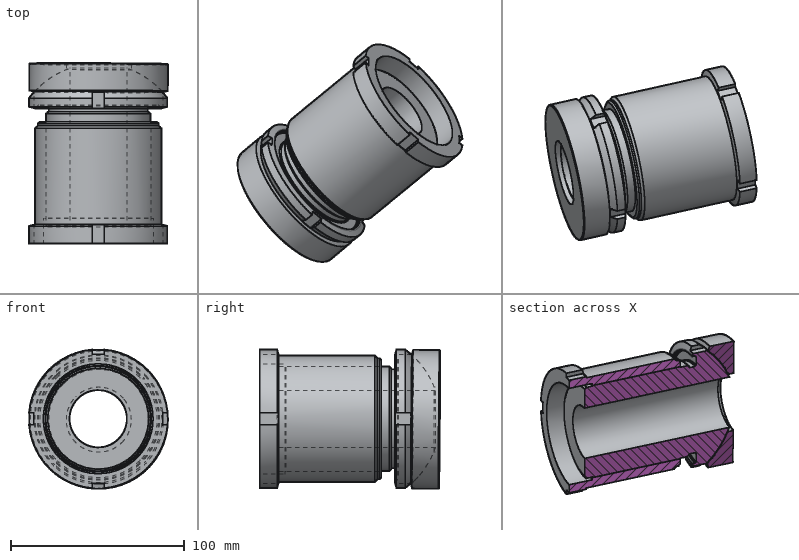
import cadquery as cq
import math

TOTAL_LENGTH = 104.0
RIM_RADIUS = 40.0
BORE_RADIUS = 16.4
THREAD_RADIUS = 30.2
BEVEL_ANGLE = 15.0

NOTCH_COUNT = 4
NOTCH_WIDTH = 7.1
NOTCH_DEPTH = 2.8

SLEEVE_LENGTH = 70.1
SLEEVE_RADIUS = 36.5
FLANGE_THICKNESS = 10.1
COUNTERBORE_RADIUS = 31.6
COUNTERBORE_DEPTH = 14.6
LEAD_IN = 0.4
STEP_RADIUS = 34.9
STEP_WIDTH = 1.1
STEP_CHAMFER = 1.1

SPINDLE_START = 9.8
THREAD_END = 75.8
THREAD_CHAMFER = 1.1
NECK_RADIUS = 28.6
COLLAR_START = 77.7
COLLAR_RIM_END = 83.7
COLLAR_FACE_RADIUS = 36.2
COLLAR_RECESS_RADIUS = 35.3
COLLAR_RECESS_DEPTH = 2.2
RECESS_BEVEL = 0.6

BALL_CENTRE = 54.1
BALL_RADIUS = math.hypot(RIM_RADIUS, COLLAR_RIM_END - BALL_CENTRE)

DISC_FACE_START = 87.2
DISC_BORE_RADIUS = 18.7
DISC_CHAMFER = 0.5
TILT_ANGLE = 0.5
TILT_AXIS = (-2.1, 0, -1)


def bevel_height(outer_radius, inner_radius):
    """Axial height of the shallow bevel between two radii."""
    return (outer_radius - inner_radius) * math.tan(math.radians(BEVEL_ANGLE))


def ball_height(radius):
    """Y of the ball surface at a given distance from the axis."""
    return BALL_CENTRE + math.sqrt(BALL_RADIUS**2 - radius**2)


def revolve_about_y(profile):
    """Close a profile of (radius, Y) points and revolve it about the common axis."""
    return profile.close().revolve(360, (0, 0, 0), (0, 1, 0))


def cut_notches(body, start, end):
    """Cut the spanner notches into a rim between two Y positions."""
    floor_radius = RIM_RADIUS - NOTCH_DEPTH
    for i in range(NOTCH_COUNT):
        notch = (
            cq.Workplane("XY")
            .box(NOTCH_WIDTH, end - start, 2 * NOTCH_DEPTH, centered=(True, False, False))
            .translate((0, start, floor_radius))
            .rotate((0, 0, 0), (0, 1, 0), i * 360 / NOTCH_COUNT)
        )
        body = body.cut(notch)
    return body


def make_sleeve():
    flange_end = FLANGE_THICKNESS + bevel_height(RIM_RADIUS, SLEEVE_RADIUS)
    step_end = SLEEVE_LENGTH - STEP_CHAMFER
    step_start = step_end - STEP_WIDTH
    shoulder = step_start - (SLEEVE_RADIUS - STEP_RADIUS)
    profile = (
        cq.Workplane("XY")
        .moveTo(COUNTERBORE_RADIUS, 0)
        .lineTo(RIM_RADIUS, 0)
        .lineTo(RIM_RADIUS, FLANGE_THICKNESS)
        .lineTo(SLEEVE_RADIUS, flange_end)
        .lineTo(SLEEVE_RADIUS, shoulder)
        .lineTo(STEP_RADIUS, step_start)
        .lineTo(STEP_RADIUS, step_end)
        .lineTo(STEP_RADIUS - STEP_CHAMFER, SLEEVE_LENGTH)
        .lineTo(THREAD_RADIUS, SLEEVE_LENGTH)
        .lineTo(THREAD_RADIUS, COUNTERBORE_DEPTH + LEAD_IN)
        .lineTo(THREAD_RADIUS + LEAD_IN, COUNTERBORE_DEPTH)
        .lineTo(COUNTERBORE_RADIUS, COUNTERBORE_DEPTH)
    )
    return cut_notches(revolve_about_y(profile), 0, flange_end)


def make_spindle():
    chamfer_radius = THREAD_RADIUS - THREAD_CHAMFER
    recess_floor = COLLAR_START + COLLAR_RECESS_DEPTH
    rim_start = COLLAR_START + bevel_height(RIM_RADIUS, COLLAR_FACE_RADIUS)
    mid_radius = (RIM_RADIUS + BORE_RADIUS) / 2
    profile = (
        cq.Workplane("XY")
        .moveTo(BORE_RADIUS, SPINDLE_START)
        .lineTo(chamfer_radius, SPINDLE_START)
        .lineTo(THREAD_RADIUS, SPINDLE_START + THREAD_CHAMFER)
        .lineTo(THREAD_RADIUS, THREAD_END - THREAD_CHAMFER)
        .lineTo(chamfer_radius, THREAD_END)
        .lineTo(NECK_RADIUS, THREAD_END)
        .lineTo(NECK_RADIUS, recess_floor - RECESS_BEVEL)
        .lineTo(NECK_RADIUS + RECESS_BEVEL, recess_floor)
        .lineTo(COLLAR_RECESS_RADIUS - RECESS_BEVEL, recess_floor)
        .lineTo(COLLAR_RECESS_RADIUS, recess_floor - RECESS_BEVEL)
        .lineTo(COLLAR_RECESS_RADIUS, COLLAR_START)
        .lineTo(COLLAR_FACE_RADIUS, COLLAR_START)
        .lineTo(RIM_RADIUS, rim_start)
        .lineTo(RIM_RADIUS, COLLAR_RIM_END)
        .threePointArc((mid_radius, ball_height(mid_radius)), (BORE_RADIUS, ball_height(BORE_RADIUS)))
    )
    notch_end = ball_height(RIM_RADIUS - NOTCH_DEPTH)
    return cut_notches(revolve_about_y(profile), COLLAR_START, notch_end)


def make_disc():
    """Disc with a hollow ball seat, tilted about the ball centre."""
    tilt = math.radians(TILT_ANGLE)
    top_radius = RIM_RADIUS - DISC_CHAMFER
    top_height = (TOTAL_LENGTH - BALL_CENTRE - top_radius * math.sin(tilt)) / math.cos(tilt)
    top = BALL_CENTRE + top_height
    seat_radius = math.sqrt(BALL_RADIUS**2 - (DISC_FACE_START - BALL_CENTRE) ** 2)
    mid_radius = (seat_radius + DISC_BORE_RADIUS) / 2
    profile = (
        cq.Workplane("XY")
        .moveTo(seat_radius, DISC_FACE_START)
        .lineTo(RIM_RADIUS, DISC_FACE_START + bevel_height(RIM_RADIUS, seat_radius))
        .lineTo(RIM_RADIUS, top - DISC_CHAMFER)
        .lineTo(top_radius, top)
        .lineTo(DISC_BORE_RADIUS, top)
        .lineTo(DISC_BORE_RADIUS, ball_height(DISC_BORE_RADIUS))
        .threePointArc((mid_radius, ball_height(mid_radius)), (seat_radius, DISC_FACE_START))
    )
    centre = cq.Vector(0, BALL_CENTRE, 0)
    return revolve_about_y(profile).rotate(centre, centre + cq.Vector(*TILT_AXIS), TILT_ANGLE)


sleeve = make_sleeve()
spindle = make_spindle()
disc = make_disc()
result = cq.Compound.makeCompound([body.solids().val() for body in (sleeve, spindle, disc)])